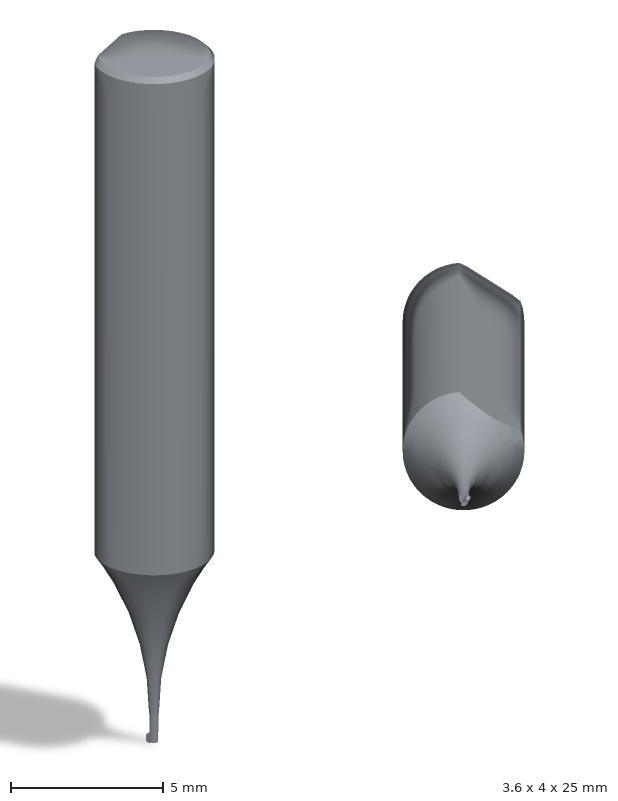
import cadquery as cq
import math

total_length = 25.0
shank_radius = 2.0
shank_bottom = 7.0
flat_offset = 1.6
top_chamfer = 0.18

neck_radius = 0.162
neck_bottom = 1.08
tip_radius = 0.15
tip_end = 0.05

relief_top = 0.68
relief_bottom = 0.35
tooth_reach = 0.22
tooth_top = 0.3
tooth_root = 0.4
tooth_point = 0.12
tooth_thickness = 0.12


def make_body():
    """Turned profile: chamfered shank, concave flare and round tip stem."""
    flare_height = shank_bottom - neck_bottom
    flare_growth = shank_radius - neck_radius
    flare_radius = (flare_height**2 + flare_growth**2) / (2 * flare_growth)
    half_angle = math.asin(flare_height / flare_radius) / 2
    flare_middle = (
        neck_radius + flare_radius * (1 - math.cos(half_angle)),
        neck_bottom + flare_radius * math.sin(half_angle),
    )
    return (
        cq.Workplane("XZ")
        .moveTo(0, tip_end)
        .lineTo(tip_radius, tip_end)
        .lineTo(tip_radius, neck_bottom)
        .lineTo(neck_radius, neck_bottom)
        .threePointArc(flare_middle, (shank_radius, shank_bottom))
        .lineTo(shank_radius, total_length - top_chamfer)
        .lineTo(shank_radius - top_chamfer, total_length)
        .lineTo(0, total_length)
        .close()
        .revolve(360, (0, 0, 0), (0, 1, 0))
    )


def make_flat_cutter():
    """Block that removes the -X side of the shank."""
    return cq.Workplane("XY").box(
        shank_radius, 2 * shank_radius, total_length, centered=(False, True, False)
    ).translate((-flat_offset - shank_radius, 0, 0))


def make_tip_relief():
    """Sloped cut that leaves the -Y half of the stem below the cutting face."""
    return (
        cq.Workplane("YZ")
        .polyline([
            (0, 0),
            (0, relief_bottom),
            (tip_radius, relief_top),
            (2 * tip_radius, relief_top),
            (2 * tip_radius, 0),
        ])
        .close()
        .extrude(tip_radius, both=True)
    )


def make_tooth():
    """Pointed tooth reaching towards -X, with its cutting face on Y = 0."""
    return (
        cq.Workplane("XZ")
        .polyline([
            (0, tip_end),
            (-tooth_point, 0),
            (-tooth_reach, tip_end),
            (-tooth_reach, tooth_top),
            (0, tooth_root),
        ])
        .close()
        .extrude(tooth_thickness)
    )


result = make_body().cut(make_flat_cutter()).cut(make_tip_relief()).union(make_tooth())